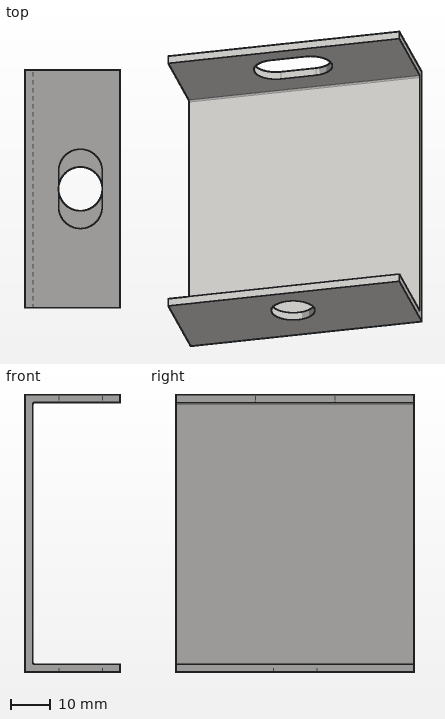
import cadquery as cq

depth = 24.0
width = 60.0
height = 70.0
thickness = 2.0
bend_radius = 0.4

opening_diameter = 11.0
slot_length = 20.0
opening_x = 14.0

block = cq.Workplane("XY").box(depth, width, height, centered=(False, True, True))

cavity = (
    cq.Workplane("XY")
    .box(depth, width, height - 2 * thickness, centered=(False, True, True))
    .translate((thickness, 0, 0))
    .edges("|Y and <X")
    .fillet(bend_radius)
)
channel = block.cut(cavity)

slot = (
    cq.Workplane("XY")
    .center(opening_x, 0)
    .slot2D(slot_length, opening_diameter, angle=90)
    .extrude(height / 2)
)

hole = (
    cq.Workplane("XY")
    .center(opening_x, 0)
    .circle(opening_diameter / 2)
    .extrude(-height / 2)
)

result = channel.cut(slot).cut(hole)